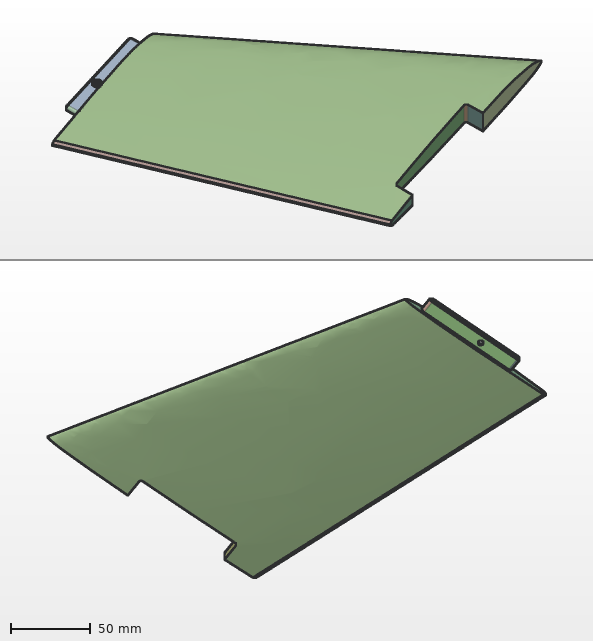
import cadquery as cq

root_x = 9.5
tip_x = 219.5
root_leading_y = 110.0
tip_leading_y = 233.5
root_trailing_y = 0.0
tip_trailing_y = 71.0

upper_surface = [
    (0.8, 0.042), (0.69, 0.0535), (0.56, 0.0645), (0.42, 0.072),
    (0.3, 0.0745), (0.18, 0.069), (0.09, 0.052), (0.03, 0.029),
]
leading_edge = (0.0, 0.0)
lower_surface = [
    (0.025, -0.016), (0.075, -0.026), (0.18, -0.034), (0.4, -0.039), (0.52, -0.0385), (0.7, -0.0345),
]

trailing_half_thickness = 2.5
trailing_chamfer_depth = 2.0
trailing_flat_half_height = 0.7

notch_x = 206.2
notch_low_y = 95.3
notch_high_y = 170.7
notch_height = 70.0
notch_corner_radius = 1.6

tab_low_y = 27.0
tab_high_y = 97.4
tab_thickness = 4.5
tab_center_z = 1.9
tab_embed = 4.7
tab_side_round = 2.0
tab_end_chamfer = 1.0

screw_x = 5.4
screw_y = 54.2
screw_diameter = 3.3
screw_head_diameter = 6.3
screw_head_depth = 1.9


def section_wire(x, leading_y, trailing_y):
    """Closed aerofoil outline at span position x."""
    chord = leading_y - trailing_y
    corner_y = trailing_y + trailing_chamfer_depth
    top_corner = cq.Vector(x, corner_y, trailing_half_thickness)
    bottom_corner = cq.Vector(x, corner_y, -trailing_half_thickness)
    curve_points = [
        cq.Vector(x, leading_y - back * chord, height * chord)
        for back, height in upper_surface + [leading_edge] + lower_surface
    ]
    skin = cq.Edge.makeSpline([top_corner] + curve_points + [bottom_corner])
    trailing_edge = cq.Wire.makePolygon([
        bottom_corner,
        cq.Vector(x, trailing_y, -trailing_flat_half_height),
        cq.Vector(x, trailing_y, trailing_flat_half_height),
        top_corner,
    ])
    return cq.Wire.assembleEdges([skin] + trailing_edge.Edges())


def make_wing():
    root = section_wire(root_x, root_leading_y, root_trailing_y)
    tip = section_wire(tip_x, tip_leading_y, tip_trailing_y)
    return cq.Workplane(cq.Solid.makeLoft([root, tip], True))


def make_notch():
    return (
        cq.Workplane("XY")
        .box(tip_x - notch_x, notch_high_y - notch_low_y, notch_height, centered=(False, False, True))
        .edges("|Z and <X")
        .fillet(notch_corner_radius)
        .translate((notch_x, notch_low_y, 0))
    )


def make_tab():
    return (
        cq.Workplane("XY")
        .box(root_x + tab_embed, tab_high_y - tab_low_y, tab_thickness, centered=(False, False, True))
        .edges("|X")
        .fillet(tab_side_round)
        .faces("<X")
        .edges()
        .chamfer(tab_end_chamfer)
        .translate((0, tab_low_y, tab_center_z))
    )


def drill_tab(tab):
    return (
        tab.faces(">Z")
        .workplane(origin=(screw_x, screw_y, tab_center_z + tab_thickness / 2))
        .cboreHole(screw_diameter, screw_head_diameter, screw_head_depth)
    )


result = make_wing().cut(make_notch()).union(drill_tab(make_tab()))